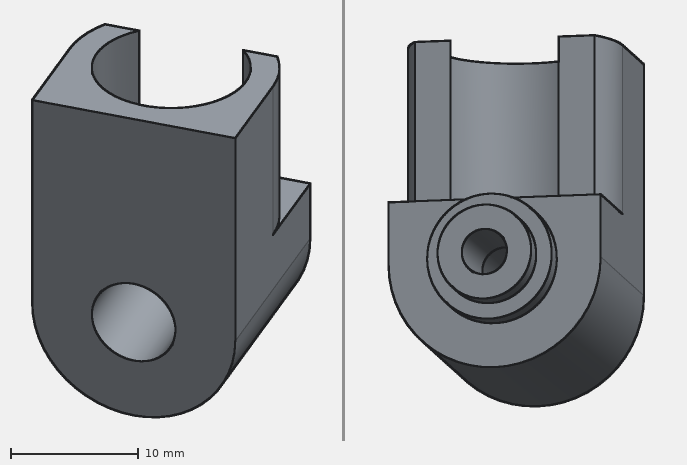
import cadquery as cq

height = 27.0
width = 17.0
depth = width
corner_radius = width / 2
base_height = 13.5

clip_bore_diameter = 12.5
clip_reach = 4.5

collar_diameter = 10.0
collar_length = 2.0
spigot_diameter = 7.5
spigot_length = 2.0

screw_diameter = 3.62
head_diameter = 7.0
head_depth = 12.95

front_y = -depth / 2
back_y = depth / 2
hole_z = corner_radius


def cylinder_y(diameter, start_y, length):
    """Cylinder on the screw axis, running toward +Y from start_y."""
    return cq.Workplane(
        cq.Solid.makeCylinder(
            diameter / 2, length, cq.Vector(0, start_y, hole_z), cq.Vector(0, 1, 0)
        )
    )


def make_base():
    """Lower block with a half-round underside."""
    block = cq.Workplane("XY").box(width, depth, base_height - hole_z, centered=(True, True, False))
    block = block.translate((0, 0, hole_z))
    rounded = cylinder_y(width, front_y, depth)
    lower_half = cq.Workplane("XY").box(width, depth, hole_z, centered=(True, True, False))
    return block.union(rounded.intersect(lower_half))


def make_clip():
    """Upright C-shaped clip: square at the front, round at the back, open toward +Y."""
    clip_height = height - base_height
    plane = cq.Workplane("XY").workplane(offset=base_height)
    square_front = plane.center(0, front_y / 2).rect(width, depth / 2).extrude(clip_height)
    round_back = plane.circle(width / 2).extrude(clip_height)
    reach_limit = plane.center(0, clip_reach / 2).rect(width, clip_reach).extrude(clip_height)
    bore = plane.circle(clip_bore_diameter / 2).extrude(clip_height)
    return square_front.union(round_back.intersect(reach_limit)).cut(bore)


def make_boss():
    """Collar followed by a smaller spigot."""
    collar = cylinder_y(collar_diameter, back_y, collar_length)
    spigot = cylinder_y(spigot_diameter, back_y + collar_length, spigot_length)
    return collar.union(spigot)


def make_screw_hole():
    """Through hole with a deep counterbore from the front."""
    shank = cylinder_y(screw_diameter, front_y, depth + collar_length + spigot_length)
    head = cylinder_y(head_diameter, front_y, head_depth)
    return shank.union(head)


result = make_base().union(make_clip()).union(make_boss()).cut(make_screw_hole())